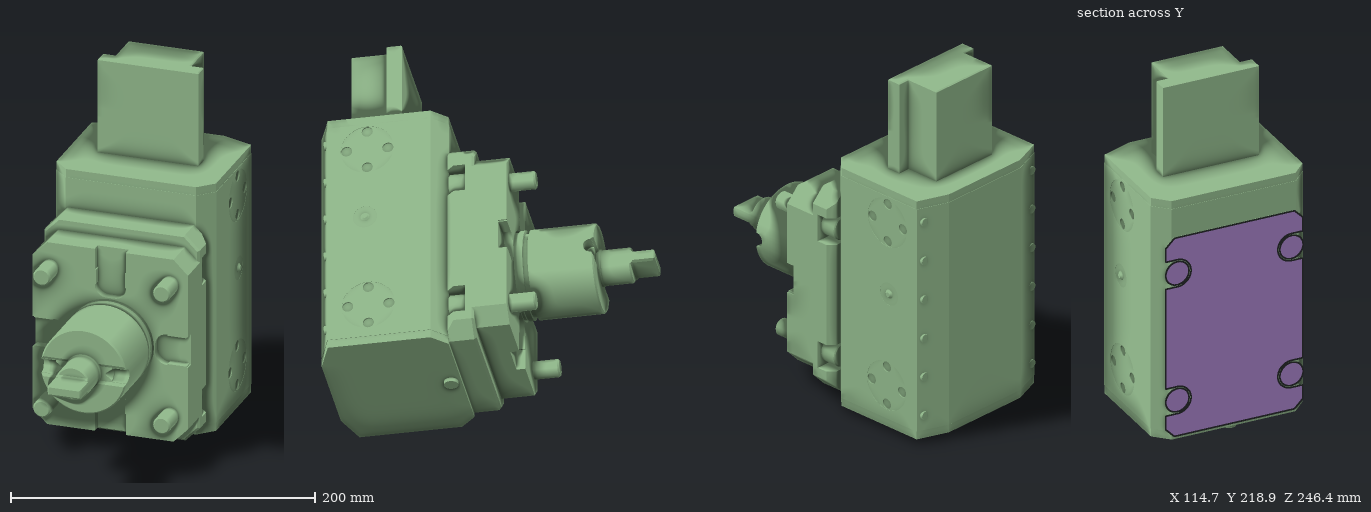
import cadquery as cq
import math


housing_half_width = 56.0
housing_front = 40.5
housing_back = 128.2
housing_top = 100.8
housing_bottom = -76.2
front_chamfer = 10.4
back_flat_half = 33.8
back_slope_depth = 8.5
cover_thickness = 6.0
cover_inset = 0.2
lid_seam = 118.3
lid_inset = 0.12

bar_top = 167.5
bar_front = 74.0
bar_step = 84.0
bar_back = 109.5
bar_flange_half = 35.2
bar_stem_half = 26.4
bar_edge_chamfer = 0.7

flange_half_width = 54.2
flange_corner = 10.0
rear_half_height = 73.7
front_half_height = 65.0
step_face = 22.2
rear_front_chamfer = 1.5
rear_side_chamfer = 4.7

screw_x = 42.0
screw_z = 47.0
shank_diameter = 12.0
shank_tip = -17.5
shank_chamfer = 1.0
head_diameter = 18.0
head_seat = 27.9
head_length = 12.0
head_chamfer = 0.7
head_slot_width = 19.7

channel_depth = 6.0
channel_half_width = 10.8
channel_neck_half = 10.0
channel_end = 31.3
channel_corner_radius = 8.1
neck_start = 40.0
neck_end_z = 50.0
neck_end_x = 53.2

nose_diameter = 60.0
nose_bore_diameter = 61.0
nose_root_diameter = 58.0
nose_end = -53.0
root_length = 1.2
collar_end = -5.7
ring_groove_end = -9.0
ring_groove_diameter = 55.2
nose_chamfer = 1.0

slot_half_width = 7.1
slot_bevel_width = 2.0
slot_floor = 1.2
slot_radius = 5.0
slot_bottom = 6.7
slot_inner_end = 19.5
slot_cone_radius = 4.0
slot_cone_length = 5.2

shaft_diameter = 23.7
shaft_root_diameter = 25.0
shaft_root_length = 1.2
shaft_end = -74.5
shaft_chamfer = 1.0
tang_end = -90.7
tang_half_thickness = 4.0
tang_root_chamfer = 1.2
tang_bevel_width = 2.7
tang_bevel_height = 0.86
tang_tip_chamfer = 1.0
tang_tip_bevel = 1.5

cap_diameter = 35.5
cap_hole_diameter = 7.5
cap_hole_radius = 13.8
cap_recess = 0.2
cap_hole_depth = 1.2
cap_centres = [(93.2, 75.5), (92.5, -45.8)]
nipple_y = 94.6
nipple_z = 23.0
nipple_seat_diameter = 16.3
nipple_seat_depth = 0.12
nipple_root_diameter = 6.5
nipple_tip_diameter = 3.2
nipple_height = 1.35
back_screw_diameter = 6.0
back_screw_x = 50.8
back_screw_end = 122.7
back_screw_count = 6
back_screw_span = 143.7
back_screw_mid_z = 12.5
plug_diameter = 9.5
plug_y = 47.5
plug_end = -78.9


def box(x0, x1, y0, y1, z0, z1):
    size = (x1 - x0, y1 - y0, z1 - z0)
    return cq.Workplane("XY").box(*size, centered=False).translate((x0, y0, z0))


def cylinder_y(diameter, y0, y1, x=0, z=0):
    """Cylinder along Y between y0 and y1."""
    solid = cq.Solid.makeCylinder(diameter / 2, y1 - y0, cq.Vector(x, y0, z), cq.Vector(0, 1, 0))
    return cq.Workplane(solid)


def turned(profile):
    """Body of revolution about the Y axis from (radius, y) points."""
    return cq.Workplane("XY").polyline(profile).close().revolve(360, (0, 0), (0, 1))


def housing_slice(inset, z0, z1):
    """Length of housing with all sides moved inwards by the inset."""
    side = housing_half_width
    points = [
        (side - front_chamfer, housing_front),
        (side, housing_front + front_chamfer),
        (side, housing_back - back_slope_depth),
        (back_flat_half, housing_back),
    ]
    outline = points + [(-x, y) for x, y in reversed(points)]
    profile = cq.Workplane("XY").workplane(offset=z0).polyline(outline).close()
    if inset:
        profile = profile.offset2D(-inset)
    return profile.extrude(z1 - z0)


def make_housing():
    """Body with a slightly inset cover at each end and a slightly narrower rear lid."""
    lower_seam = housing_bottom + cover_thickness
    upper_seam = housing_top - cover_thickness
    body = housing_slice(0, lower_seam, upper_seam)
    for side in (-1, 1):
        x0, x1 = sorted((side * (housing_half_width - lid_inset), side * housing_half_width))
        body = body.cut(box(x0, x1, lid_seam, housing_back, lower_seam, upper_seam))
    body = body.union(housing_slice(cover_inset, upper_seam, housing_top))
    return body.union(housing_slice(cover_inset, housing_bottom, lower_seam))


def make_bar():
    flange = box(-bar_flange_half, bar_flange_half, bar_front, bar_step, housing_top, bar_top)
    stem = box(-bar_stem_half, bar_stem_half, bar_front, bar_back, housing_top, bar_top)
    return flange.union(stem).faces(">Z").edges().chamfer(bar_edge_chamfer)


def flange_step(half_height, y0, y1):
    """Plate with four chamfered corners, between y0 and y1."""
    plate = box(-flange_half_width, flange_half_width, y0, y1, -half_height, half_height)
    return plate.edges("|Y").chamfer(flange_corner)


def make_flange():
    rear = flange_step(rear_half_height, step_face, housing_front)
    rear = rear.faces("<Y").edges().chamfer(rear_front_chamfer)
    rear = rear.faces("<X or >X").edges(">Y").chamfer(rear_side_chamfer)
    return rear.union(flange_step(front_half_height, 0, head_seat))


def channel(neck_end):
    """Channel running along +Z from the nose, rounded at its inner end and slightly necked."""
    outer_end = rear_half_height
    slot = box(
        -channel_half_width, channel_half_width, 0, channel_depth, channel_end, outer_end
    )
    slot = slot.faces("<Z").edges("|Y").fillet(channel_corner_radius)
    for side in (-1, 1):
        x0, x1 = sorted((side * channel_neck_half, side * channel_half_width))
        slot = slot.cut(box(x0, x1, 0, channel_depth, neck_start, neck_end))
    return slot


def cut_channels(flange):
    for turn in range(4):
        neck_end = neck_end_x if turn % 2 else neck_end_z
        flange = flange.cut(channel(neck_end).rotate((0, 0, 0), (0, 1, 0), 90 * turn))
    return flange


def screw_places():
    return [(x, z) for x in (-screw_x, screw_x) for z in (-screw_z, screw_z)]


def cut_head_slots(flange):
    """Seats for the screw heads, open to the nearest side."""
    for x, z in screw_places():
        edge = math.copysign(flange_half_width, x)
        x0, x1 = sorted((x, edge))
        half = head_slot_width / 2
        flange = flange.cut(cylinder_y(head_slot_width, head_seat, housing_front, x, z))
        flange = flange.cut(box(x0, x1, head_seat, housing_front, z - half, z + half))
    return flange


def make_screw(x, z):
    shank = cylinder_y(shank_diameter, shank_tip, head_seat, x, z)
    shank = shank.faces("<Y").chamfer(shank_chamfer)
    head = cylinder_y(head_diameter, head_seat, head_seat + head_length, x, z)
    return shank.union(head.faces(">Y").chamfer(head_chamfer))


def make_nose():
    radius = nose_diameter / 2
    root = nose_root_diameter / 2
    groove = ring_groove_diameter / 2
    profile = [
        (0, channel_depth),
        (root, channel_depth),
        (root, -root_length),
        (radius, -root_length - (radius - root)),
        (radius, collar_end),
        (groove, collar_end),
        (groove, ring_groove_end),
        (radius, ring_groove_end),
        (radius, nose_end + nose_chamfer),
        (radius - nose_chamfer, nose_end),
        (0, nose_end),
    ]
    return turned(profile)


def cut_driving_slot(nose):
    """Bevelled slot with a shallow middle, a round groove at each end and a conical drill point."""
    floor_half = slot_half_width - slot_bevel_width
    trapezoid = [
        (nose_end, -slot_half_width),
        (nose_end + slot_floor, -floor_half),
        (nose_end + slot_floor, floor_half),
        (nose_end, slot_half_width),
    ]
    nose = nose.cut(cq.Workplane("YZ").polyline(trapezoid).close().extrude(nose_diameter, both=True))
    axis_y = nose_end + slot_bottom - slot_radius
    for side in (-1, 1):
        start = cq.Vector(side * slot_inner_end, axis_y, 0)
        outwards = cq.Vector(side, 0, 0)
        groove = cq.Solid.makeCylinder(slot_radius, nose_diameter, start, outwards)
        cone = cq.Solid.makeCone(slot_cone_radius, 0, slot_cone_length, start, outwards * -1)
        nose = nose.cut(cq.Workplane(groove)).cut(cq.Workplane(cone))
    return nose


def make_shaft():
    """Round shaft with a slightly thicker root, turned down to its full length."""
    radius = shaft_diameter / 2
    root = shaft_root_diameter / 2
    root_start = nose_end + slot_bottom
    root_end = nose_end - shaft_root_length
    return turned([
        (0, root_start),
        (root, root_start),
        (root, root_end),
        (radius, root_end - (root - radius)),
        (radius, tang_end + tang_tip_chamfer),
        (radius - tang_tip_chamfer, tang_end),
        (0, tang_end),
    ])


def cut_tang(shaft):
    """Flats above and below the tang, with bevelled edges and a chamfered shoulder."""
    radius = shaft_diameter / 2
    half = tang_half_thickness
    foot = half + tang_root_chamfer
    flat_start = shaft_end - tang_root_chamfer
    flat_end = tang_end + tang_tip_bevel
    bevelled = half - tang_bevel_height
    shoulder_ring = turned([
        (radius, shaft_end + shaft_chamfer),
        (radius, shaft_end),
        (radius - shaft_chamfer, shaft_end),
    ])
    for side in (-1, 1):
        waste = [
            (shaft_end, side * shaft_diameter),
            (shaft_end, side * foot),
            (flat_start, side * half),
            (flat_end, side * half),
            (tang_end, side * (half - tang_tip_bevel)),
            (tang_end, side * shaft_diameter),
        ]
        shaft = shaft.cut(cq.Workplane("YZ").polyline(waste).close().extrude(shaft_diameter, both=True))
        z0, z1 = sorted((side * foot, side * shaft_diameter))
        keep = box(-shaft_diameter, shaft_diameter, shaft_end, shaft_end + shaft_chamfer, z0, z1)
        shaft = shaft.cut(shoulder_ring.intersect(keep))
        for x_side in (-1, 1):
            bevel = [
                (x_side * (radius - tang_bevel_width), side * half),
                (x_side * radius, side * bevelled),
                (x_side * radius, side * half),
            ]
            corner = cq.Workplane("XZ", origin=(0, flat_start, 0)).polyline(bevel).close()
            shaft = shaft.cut(corner.extrude(flat_start - tang_end))
    return shaft


def cut_bearing_caps(housing):
    """Shallow round caps with four spanner holes each, on both sides of the housing."""
    for side in (-1, 1):
        face_x = side * housing_half_width
        inwards = cq.Vector(-side, 0, 0)
        for y, z in cap_centres:
            cap = cq.Solid.makeCylinder(cap_diameter / 2, cap_recess, cq.Vector(face_x, y, z), inwards)
            housing = housing.cut(cq.Workplane(cap))
            for dy, dz in ((1, 0), (0, 1), (-1, 0), (0, -1)):
                centre = cq.Vector(face_x, y + dy * cap_hole_radius, z + dz * cap_hole_radius)
                hole = cq.Solid.makeCylinder(cap_hole_diameter / 2, cap_hole_depth, centre, inwards)
                housing = housing.cut(cq.Workplane(hole))
    return housing


def add_nipple(housing, side):
    """Conical grease nipple in a very shallow round seat."""
    seat_x = housing_half_width - nipple_seat_depth
    base = cq.Vector(side * seat_x, nipple_y, nipple_z)
    outwards = cq.Vector(side, 0, 0)
    seat = cq.Solid.makeCylinder(nipple_seat_diameter / 2, nipple_seat_depth, base, outwards)
    root_radius = nipple_root_diameter / 2
    length = nipple_seat_depth + nipple_height
    cone = cq.Solid.makeCone(root_radius, nipple_tip_diameter / 2, length, base, outwards)
    return housing.cut(cq.Workplane(seat)).union(cq.Workplane(cone))


def make_back_screw(x, index):
    z = back_screw_mid_z + (index / (back_screw_count - 1) - 0.5) * back_screw_span
    root = housing_back - back_slope_depth - back_screw_diameter
    return cylinder_y(back_screw_diameter, root, back_screw_end, x, z)


def make_plug():
    return cq.Workplane("XY", origin=(0, plug_y, plug_end)).circle(plug_diameter / 2).extrude(
        housing_bottom - plug_end
    )


housing = cut_bearing_caps(make_housing()).union(make_bar()).union(make_plug())
for side in (-1, 1):
    housing = add_nipple(housing, side)
    for index in range(back_screw_count):
        housing = housing.union(make_back_screw(side * back_screw_x, index))

flange = cut_head_slots(cut_channels(make_flange()))
flange = flange.cut(cylinder_y(nose_bore_diameter, 0, channel_depth))
for x, z in screw_places():
    flange = flange.union(make_screw(x, z))

spindle = cut_driving_slot(make_nose()).union(cut_tang(make_shaft()))

result = housing.union(flange).union(spindle)